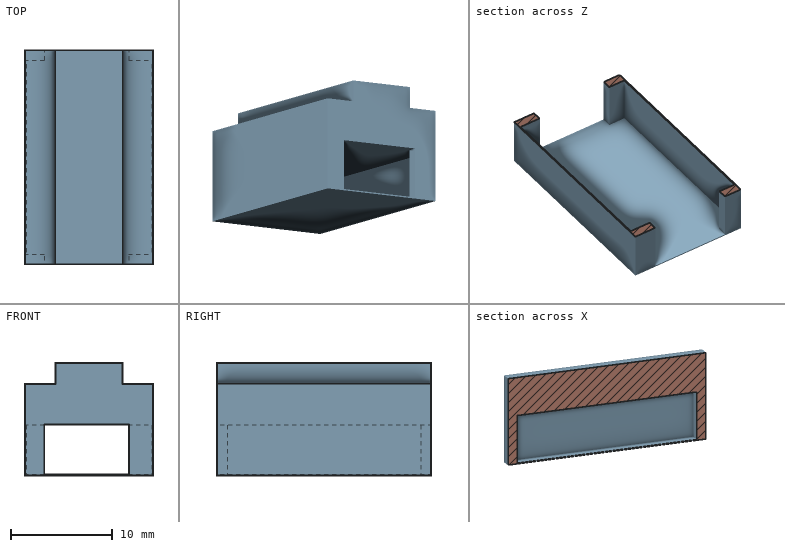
import cadquery as cq

length = 21.0
body_width = 12.58
total_height = 11.07

rail_width = 6.62
rail_height = 2.08
body_height = total_height - rail_height

opening_width = 8.27
opening_height = 4.87
opening_offset = -0.23

floor_thickness = 0.13
side_wall = 0.13
end_wall = 1.0
cavity_width = body_width - 2 * side_wall
cavity_length = length - 2 * end_wall


def bar(width, depth, height, base_z, center_x=0.0):
    """Rectangular bar centred on Y, resting at base_z."""
    return (
        cq.Workplane("XY", origin=(center_x, 0, base_z))
        .box(width, depth, height, centered=(True, True, False))
    )


body = bar(body_width, length, body_height, 0)
rail = bar(rail_width, length, rail_height, body_height)
opening = bar(opening_width, length, opening_height, floor_thickness, opening_offset)
cavity = bar(cavity_width, cavity_length, opening_height, floor_thickness)

result = body.union(rail).cut(opening).cut(cavity)